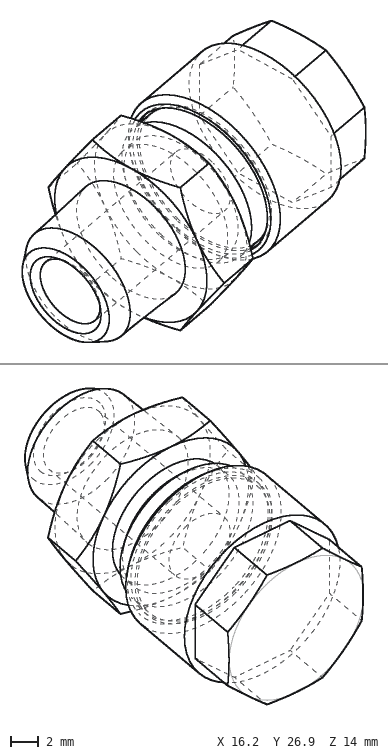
import cadquery as cq
import math

total_length = 26.9
thread_bevel_end = 1.4
nut_front = 7.48
nut_back = 12.02
neck_end = 13.2
collar_bevel_end = 13.88
sleeve_front = 15.41
sleeve_back = 22.86

nut_flats = 14.0
nut_sides = 6
cap_flats = 12.08
cap_sides = 8
thread_tip_radius = 4.0
thread_front_radius = 4.82
thread_back_radius = 5.0
neck_radius = 5.25
collar_radius = 5.97
sleeve_radius = nut_flats / 2
sleeve_bevel = 0.48

nut_chamfer_angle = 30.0
cap_chamfer_angle = 18.0
bore_radius = 2.75
bore_bevel = 0.5
bore_depth = sleeve_front
recess_radius = 6.2
recess_depth = 0.48


def revolve_profile(points):
    """Revolve (radius, y) points around the Y axis."""
    return cq.Workplane("XY").polyline(points).close().revolve(360, (0, 0, 0), (0, 1, 0))


def polygon_corner_radius(sides, flats):
    """Centre-to-corner distance of a regular polygon with the given width across flats."""
    return flats / 2 / math.cos(math.pi / sides)


def polygon_prism(sides, flats, first_angle, y_start, y_end):
    """Regular prism along Y; the first corner angle is in degrees from X."""
    corner_radius = polygon_corner_radius(sides, flats)
    angles = [math.radians(first_angle + 360 * i / sides) for i in range(sides)]
    corners = [(corner_radius * math.cos(a), corner_radius * math.sin(a)) for a in angles]
    prism = cq.Workplane("XZ", origin=(0, y_start, 0)).polyline(corners).close()
    return prism.extrude(y_start - y_end)


def make_body():
    """Tapered thread, relieved neck and collar, continuing inside the sleeve."""
    return revolve_profile([
        (0, 0),
        (thread_tip_radius, 0),
        (thread_front_radius, thread_bevel_end),
        (thread_back_radius, nut_front),
        (neck_radius, nut_front),
        (neck_radius, neck_end),
        (collar_radius, collar_bevel_end),
        (collar_radius, sleeve_back),
        (0, sleeve_back),
    ])


def make_nut():
    """Hexagon with its corners chamfered on both faces."""
    corner_radius = polygon_corner_radius(nut_sides, nut_flats)
    drop = (corner_radius - nut_flats / 2) * math.tan(math.radians(nut_chamfer_angle))
    envelope = revolve_profile([
        (0, nut_front),
        (nut_flats / 2, nut_front),
        (corner_radius, nut_front + drop),
        (corner_radius, nut_back - drop),
        (nut_flats / 2, nut_back),
        (0, nut_back),
    ])
    return polygon_prism(nut_sides, nut_flats, 0, nut_front, nut_back).intersect(envelope)


def make_cap():
    """Octagonal end with its corners chamfered on the outer face."""
    corner_radius = polygon_corner_radius(cap_sides, cap_flats)
    drop = (corner_radius - cap_flats / 2) * math.tan(math.radians(cap_chamfer_angle))
    envelope = revolve_profile([
        (0, sleeve_back),
        (corner_radius, sleeve_back),
        (corner_radius, total_length - drop),
        (cap_flats / 2, total_length),
        (0, total_length),
    ])
    return polygon_prism(cap_sides, cap_flats, 180 / cap_sides, sleeve_back, total_length).intersect(envelope)


def make_sleeve():
    """Round sleeve with a bevelled mouth and a shallow gap around the collar."""
    return revolve_profile([
        (0, sleeve_front + recess_depth),
        (recess_radius, sleeve_front + recess_depth),
        (recess_radius, sleeve_front),
        (sleeve_radius - sleeve_bevel, sleeve_front),
        (sleeve_radius, sleeve_front + sleeve_bevel),
        (sleeve_radius, sleeve_back),
        (0, sleeve_back),
    ])


def make_bore():
    """Blind bore with a bevelled mouth."""
    return revolve_profile([
        (0, 0),
        (bore_radius + bore_bevel, 0),
        (bore_radius, bore_bevel),
        (bore_radius, bore_depth),
        (0, bore_depth),
    ])


result = make_body().union(make_nut()).union(make_sleeve()).union(make_cap()).cut(make_bore())